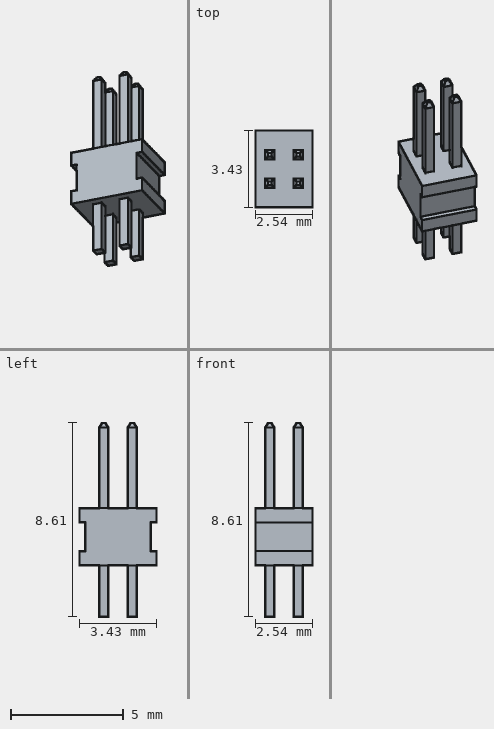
import cadquery as cq

PIN_LENGTH = 8.61
PIN_WIDTH = 0.41
PIN_PITCH = 1.265
PIN_TAIL = 2.29
TIP_HEIGHT = 0.215
TIP_WIDTH = 0.15

HOUSING_X = 2.54
HOUSING_Y = 3.43
FLANGE_HEIGHT = 0.63
GROOVE_HEIGHT = 1.27
GROOVE_DEPTH = 0.26
HOUSING_HEIGHT = 2 * FLANGE_HEIGHT + GROOVE_HEIGHT

PIN_OFFSET = PIN_PITCH / 2
MOLDED_PIN_POINTS = [(x, PIN_OFFSET) for x in (-PIN_OFFSET, PIN_OFFSET)]
INSERTED_PIN_POINTS = [(x, -PIN_OFFSET) for x in (-PIN_OFFSET, PIN_OFFSET)]


def make_pin(point):
    """Square pin with a blunt pyramid tip, passing through the housing."""
    shaft = (
        cq.Workplane("XY", origin=(*point, -PIN_TAIL))
        .rect(PIN_WIDTH, PIN_WIDTH)
        .extrude(PIN_LENGTH - TIP_HEIGHT)
    )
    tip = (
        shaft.faces(">Z")
        .workplane(centerOption="CenterOfMass")
        .rect(PIN_WIDTH, PIN_WIDTH)
        .workplane(offset=TIP_HEIGHT)
        .rect(TIP_WIDTH, TIP_WIDTH)
        .loft(combine=False)
    )
    return shaft.union(tip)


def make_block():
    """Block with a groove along X in its front and back faces."""
    block = cq.Workplane("XY").box(HOUSING_X, HOUSING_Y, HOUSING_HEIGHT, centered=(True, True, False))
    groove_z = FLANGE_HEIGHT + GROOVE_HEIGHT / 2
    groove_y = (HOUSING_Y - GROOVE_DEPTH) / 2
    for side in (-1, 1):
        groove = cq.Workplane("XY", origin=(0, side * groove_y, groove_z)).box(
            HOUSING_X, GROOVE_DEPTH, GROOVE_HEIGHT
        )
        block = block.cut(groove)
    return block


def make_housing(inserted_pins):
    """Grooved block with its rear row of pins in one piece and square holes for the front row."""
    housing = make_block()
    for point in MOLDED_PIN_POINTS:
        housing = housing.union(make_pin(point))
    for pin in inserted_pins:
        housing = housing.cut(pin)
    return housing


pins = [make_pin(point) for point in INSERTED_PIN_POINTS]
housing = make_housing(pins)

result = cq.Compound.makeCompound([housing.val(), *[pin.val() for pin in pins]])